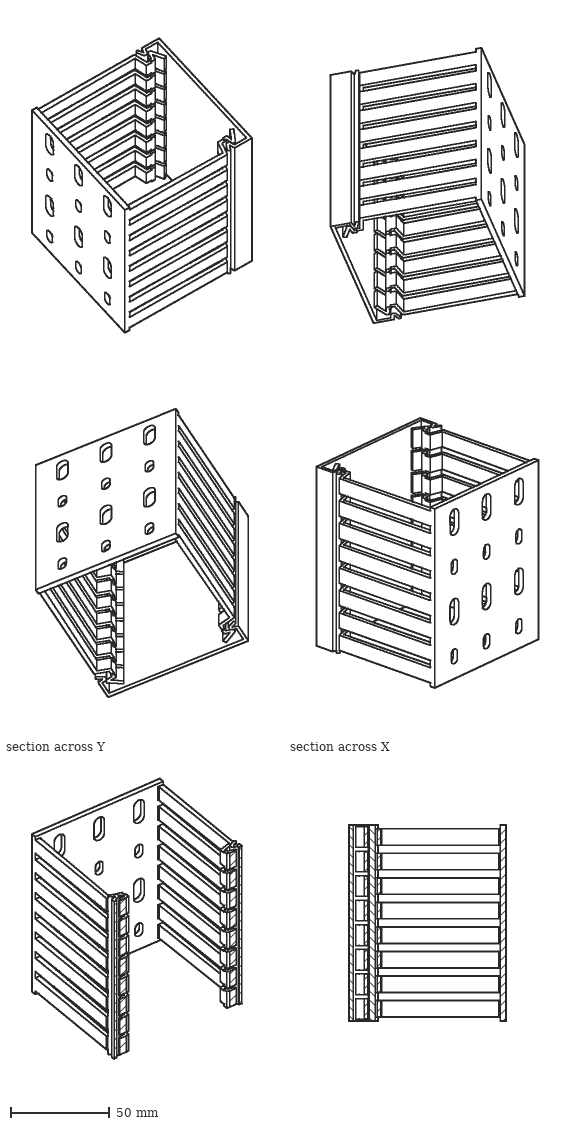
import cadquery as cq
import math


WIDTH = 80.6
DEPTH = 80.0
LENGTH = 100.0
HALF_WIDTH = WIDTH / 2
COVER_Y = DEPTH / 2
BASE_Y = -DEPTH / 2

COVER_THICKNESS = 2.2
COVER_SIDE_THICKNESS = 1.8
COVER_INNER_CORNER = 9.7
COVER_SIDE_DEPTH = 11.0
GROOVE_INSET = 3.0
FOLD_INSET = 4.9
FOLD_TOP = 10.6
FOLD_ROUNDING = 0.6
LIP_RADIUS = 0.85
LIP_DEPTH = 14.8
LIP_ANGLE = math.radians(27)

PLATE_THICKNESS = 3.0
WALL_THICKNESS_TOP = 2.3
WALL_THICKNESS_BOTTOM = 3.0
CORNER_CHAMFER = 0.6
WALL_TOP = 15.5
WALL_INNER_TOP = 16.7
LEG_INSET = 7.6
LEG_THICKNESS = 1.8
LEG_INNER = LEG_INSET + LEG_THICKNESS
ARM_TOP = 13.3
ARM_BOTTOM = 14.8
LEG_CORNER_TOP = 10.6
LEG_CORNER_INNER = 9.1

NOSE_INSET = 3.5
NOSE_TOP = 7.9
NOSE_BOTTOM = 9.4
NOSE_UNDERSIDE = (4.2, 9.9)
TONGUE_TIP_OUTER = (10.9, 3.5)
TONGUE_TIP_INNER = (11.9, 5.3)
TONGUE_ROOT = (6.2, 8.5)

FINGER_COUNT = 8
FINGER_PITCH = LENGTH / FINGER_COUNT
SLOT_WIDTH = 4.0
HOOK_SLOT_WIDTH = 2.0
HOOK_SLOT_DEPTH = 11.5

HOLE_COLUMNS = 3
HOLE_PITCH_X = 25.0
HOLE_PITCH_Z = 25.0
LARGE_HOLE = (14.3, 6.5)
SMALL_HOLE = (8.0, 4.7)
HOLE_ROWS = [LARGE_HOLE, SMALL_HOLE, LARGE_HOLE, SMALL_HOLE]


def profile_points(side_points):
    """Turn (inset from the outer side, depth below the cover) into XY on the -X side."""
    return [(inset - HALF_WIDTH, COVER_Y - depth) for inset, depth in side_points]


def with_mirror(points):
    """Continue an open -X side outline with its mirror image on the +X side."""
    return points + [(-x, y) for x, y in reversed(points)]


def extrude_profile(side_points):
    outline = with_mirror(profile_points(side_points))
    return cq.Workplane("XY", origin=(0, 0, -LENGTH / 2)).polyline(outline).close().extrude(LENGTH)


def fillet_long_edges(body, inset, depth, radius):
    """Round the Z edge at one profile corner, on both sides."""
    for x, y in with_mirror(profile_points([(inset, depth)])):
        body = body.edges(cq.selectors.NearestToPointSelector((x, y, 0))).fillet(radius)
    return body


def make_lip_end(inset, depth):
    """Full-round end of the lip, on both sides."""
    centers = with_mirror(profile_points([(inset, depth)]))
    return (
        cq.Workplane("XY", origin=(0, 0, -LENGTH / 2))
        .pushPoints(centers)
        .circle(LIP_RADIUS)
        .extrude(LENGTH)
    )


def make_cover():
    lip_inset = LIP_RADIUS
    lip_depth = LIP_DEPTH - LIP_RADIUS
    tangent_inset = LIP_RADIUS * math.sin(LIP_ANGLE)
    tangent_depth = LIP_RADIUS * math.cos(LIP_ANGLE)
    lip_outer = (lip_inset - tangent_inset, lip_depth - tangent_depth)
    lip_inner = (lip_inset + tangent_inset, lip_depth + tangent_depth)
    groove_bottom = lip_outer[1] - (GROOVE_INSET - lip_outer[0]) * math.tan(LIP_ANGLE)
    fold_bottom = lip_inner[1] - (FOLD_INSET - lip_inner[0]) * math.tan(LIP_ANGLE)

    cover = extrude_profile([
        (0, 0),
        (0, COVER_SIDE_DEPTH),
        (GROOVE_INSET, groove_bottom),
        lip_outer,
        lip_inner,
        (FOLD_INSET, fold_bottom),
        (FOLD_INSET, FOLD_TOP),
        (COVER_SIDE_THICKNESS, COVER_INNER_CORNER),
        (COVER_SIDE_THICKNESS, COVER_THICKNESS),
    ])
    cover = fillet_long_edges(cover, FOLD_INSET, fold_bottom, FOLD_ROUNDING)
    cover = fillet_long_edges(cover, FOLD_INSET, FOLD_TOP, FOLD_ROUNDING)
    return cover.union(make_lip_end(lip_inset, lip_depth))


def make_base_profile():
    plate_top = DEPTH - PLATE_THICKNESS
    return extrude_profile([
        (0, DEPTH),
        (0, WALL_TOP),
        (LEG_INSET, ARM_TOP),
        (LEG_INSET, LEG_CORNER_TOP),
        NOSE_UNDERSIDE,
        (NOSE_INSET, NOSE_BOTTOM),
        (NOSE_INSET, NOSE_TOP),
        TONGUE_TIP_OUTER,
        TONGUE_TIP_INNER,
        TONGUE_ROOT,
        (LEG_INNER, LEG_CORNER_INNER),
        (LEG_INNER, ARM_BOTTOM),
        (WALL_THICKNESS_TOP, WALL_INNER_TOP),
        (WALL_THICKNESS_BOTTOM, plate_top - CORNER_CHAMFER),
        (WALL_THICKNESS_BOTTOM + CORNER_CHAMFER, plate_top),
    ])


def slot_cutter(width, bottom_y, z):
    """A box across the whole duct, open toward the cover."""
    height = COVER_Y - bottom_y
    return cq.Workplane("XY").box(WIDTH, height, width).translate((0, bottom_y + height / 2, z))


def cut_finger_slots(base):
    """Cut a slot between fingers and half a slot at each end, narrower through the hooks."""
    for index in range(FINGER_COUNT + 1):
        z = index * FINGER_PITCH - LENGTH / 2
        hook_slot = slot_cutter(HOOK_SLOT_WIDTH, BASE_Y + PLATE_THICKNESS, z)
        wall_slot = slot_cutter(SLOT_WIDTH, BASE_Y + PLATE_THICKNESS, z)
        above_step = slot_cutter(SLOT_WIDTH, COVER_Y - HOOK_SLOT_DEPTH, z)
        base = base.cut(hook_slot).cut(wall_slot.cut(above_step))
    return base


def cut_mounting_holes(base):
    """Alternate rows of large and small oblong holes, long along Z."""
    for row, (length, width) in enumerate(HOLE_ROWS):
        z = ((len(HOLE_ROWS) - 1) / 2 - row) * HOLE_PITCH_Z
        holes = (
            cq.Workplane("XZ", origin=(0, BASE_Y, z))
            .rarray(HOLE_PITCH_X, 1, HOLE_COLUMNS, 1)
            .slot2D(length, width, 90)
            .extrude(-PLATE_THICKNESS)
        )
        base = base.cut(holes)
    return base


def make_base():
    return cut_mounting_holes(cut_finger_slots(make_base_profile()))


cover = make_cover()
base = make_base()
result = cq.Compound.makeCompound([*base.solids().vals(), *cover.solids().vals()])